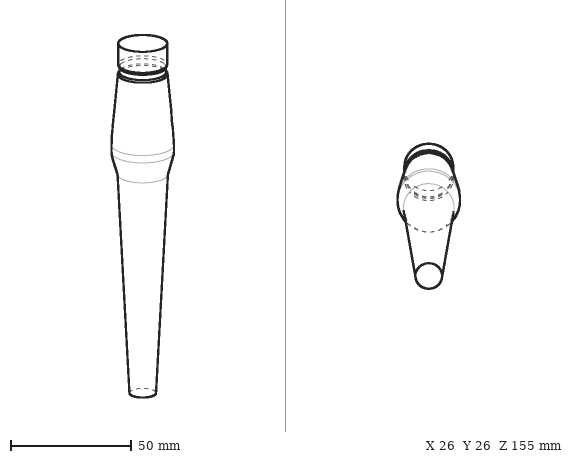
import cadquery as cq

length = 155.0
head_bottom = 145.7
groove_top = 144.6
groove_bottom = 142.3
shoulder_top = 141.4
upper_blend_start = 118.1
belly_top = 110.0
belly_bottom = 106.8
lower_blend_end = 103.2
tail_top = 97.0

head_radius = 10.2
groove_radius = 9.8
shoulder_radius = 10.4
upper_blend_radius = 12.5
belly_radius = 13.0
lower_blend_radius = 12.4
tail_top_radius = 10.5
tail_bottom_radius = 5.6

tail_end = (tail_top_radius, tail_top)
lower_blend = (lower_blend_radius, lower_blend_end)
belly_start = (belly_radius, belly_bottom)
belly_end = (belly_radius, belly_top)
upper_blend = (upper_blend_radius, upper_blend_start)
shoulder_end = (shoulder_radius, shoulder_top)

upright = (0, 1)


def direction(start, end):
    """Vector from one profile point to another."""
    return end[0] - start[0], end[1] - start[1]


profile = (
    cq.Workplane("XZ")
    .lineTo(tail_bottom_radius, 0)
    .lineTo(*tail_end)
    .spline(
        [lower_blend, belly_start],
        tangents=[direction(tail_end, lower_blend), upright],
        includeCurrent=True,
    )
    .lineTo(*belly_end)
    .spline(
        [upper_blend, shoulder_end],
        tangents=[upright, direction(upper_blend, shoulder_end)],
        includeCurrent=True,
    )
    .lineTo(groove_radius, groove_bottom)
    .lineTo(groove_radius, groove_top)
    .lineTo(head_radius, head_bottom)
    .lineTo(head_radius, length)
    .lineTo(0, length)
    .close()
)

result = profile.revolve(360, (0, 0, 0), (0, 1, 0))